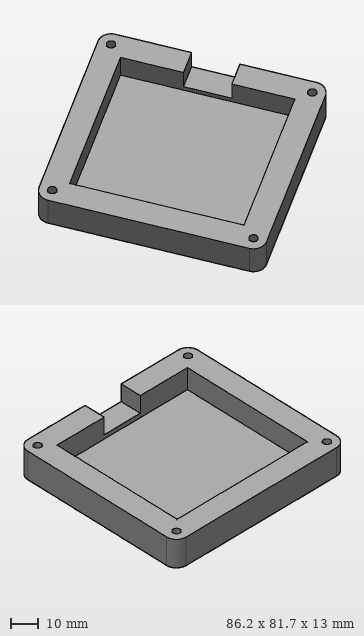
import cadquery as cq

length = 86.2
width = 81.7
height = 13.0
corner_radius = 5.0

pocket_length = 66.0
pocket_width = 62.0
pocket_depth = 10.0

notch_length = 18.3
notch_depth = 8.0

hole_diameter = 3.4
hole_spacing_x = length - 2 * corner_radius
hole_spacing_y = width - 2 * corner_radius


def make_block():
    block = cq.Workplane("XY").box(length, width, height, centered=(True, True, False))
    return block.edges("|Z").fillet(corner_radius)


def make_top_cut(size_x, size_y, depth):
    """Box centred in X and Y that reaches down from the top face."""
    cut = cq.Workplane("XY").box(size_x, size_y, depth, centered=(True, True, False))
    return cut.translate((0, 0, height - depth))


def make_notch():
    """Box from the centre of the pocket to the outside of the +Y wall."""
    reach = width / 2
    return make_top_cut(notch_length, reach, notch_depth).translate((0, reach / 2, 0))


def make_screw_holes():
    return (
        cq.Workplane("XY")
        .rect(hole_spacing_x, hole_spacing_y, forConstruction=True)
        .vertices()
        .circle(hole_diameter / 2)
        .extrude(height)
    )


result = (
    make_block()
    .cut(make_top_cut(pocket_length, pocket_width, pocket_depth))
    .cut(make_notch())
    .cut(make_screw_holes())
)